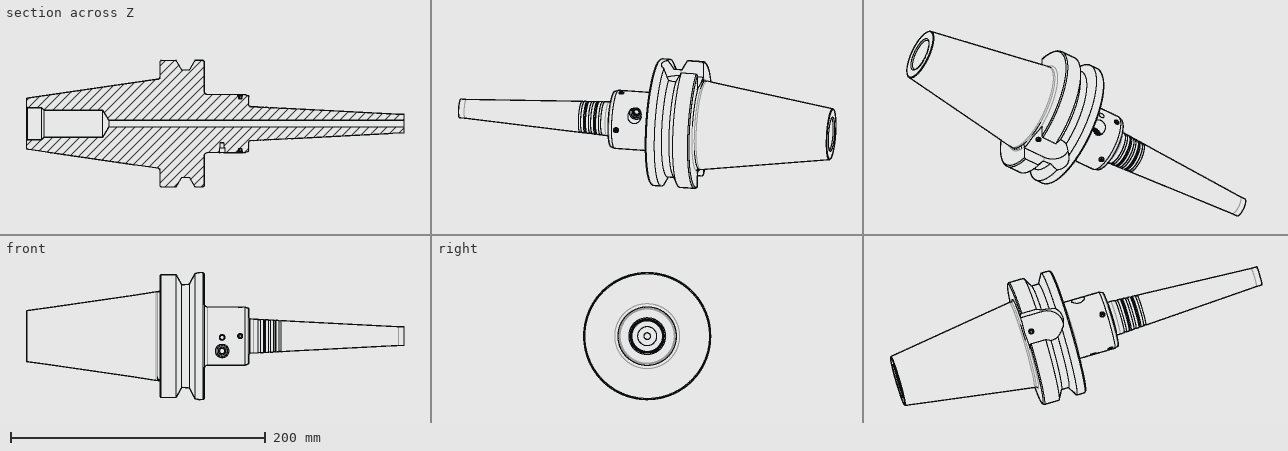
import cadquery as cq
import math


GAUGE_D = 69.85
TAPER_RATE = 7 / 24
TAPER_LENGTH = 101.8
TAPER_END_CHAMFER = 0.5
NECK_FILLET = 1.6

FLANGE_D = 100.0
FLANGE_START = 3.0
FLANGE_END = 38.0
FLANGE_CHAMFER = 1.0
GROOVE_BOTTOM_D = 85.0
GROOVE_CENTRE = 23.25
GROOVE_BOTTOM_WIDTH = 6.0
GROOVE_HALF_ANGLE = 30.0

SLOT_WIDTH = 25.7
SLOT_FLOOR = 35.4
SLOT_END = 33.9

COLLAR_D = 46.0
COLLAR_END = 73.0
COLLAR_BASE_FILLET = 2.5
COLLAR_LEAD_LENGTH = 3.2
COLLAR_LEAD_DEPTH = 0.9
COLLAR_END_FILLET = 0.8

NOSE_END = 195.0
NOSE_D = 15.0
NOSE_LAND = 4.5
NOSE_ANGLE = 3.0
NOSE_CONE_START = 76.8
NOSE_ROOT_CHAMFER = 1.0

RING_COUNT = 5
RING_FIRST = 81.2
RING_PITCH = 4.05
RING_WIDTH = 1.8
RING_DEPTH = 0.3

MOUTH_D = 25.0
MOUTH_DEPTH = 12.0
MOUTH_CHAMFER = 1.0
THREAD_D = 21.0
THREAD_DEPTH = 60.0
DRILL_POINT_ANGLE = 118.0
COOLANT_D = 5.0

SMALL_SCREW_STEPS = (4.0, 3.4)
SMALL_SOCKET = 2.0
COLLAR_SCREW_X = 66.2
SLOT_SCREW_X = 7.9
LARGE_SCREW_STEPS = (8.4, 6.0)
LARGE_SOCKET = 4.0
STEP_DEPTH = 0.7
SOCKET_DEPTH = 2.0

CROSS_X = 52.0
CROSS_Z = 11.7
CROSS_D = 10.6
CROSS_FLOOR = 13.0

SIDE_HOLE_STEPS = (4.5, 3.4)
SIDE_HOLE_Z = -1.0
SIDE_HOLE_MOUTH_DEPTH = 4.0
SIDE_HOLE_DEPTH = 8.0


def nose_radius(x):
    """Radius of the 3 degree nose cone at position x."""
    cone_end = NOSE_END - NOSE_LAND
    return NOSE_D / 2 + (cone_end - x) * math.tan(math.radians(NOSE_ANGLE))


def revolved(outline):
    """Turn a closed (x, radius) outline about the X axis."""
    return outline.close().revolve(360, (0, 0, 0), (1, 0, 0))


def turned_about_x(shape, angle):
    return shape.rotate((0, 0, 0), (1, 0, 0), angle)


def turned_body():
    gauge_r = GAUGE_D / 2
    small_r = gauge_r - TAPER_LENGTH * TAPER_RATE / 2
    flange_r = FLANGE_D / 2
    groove_r = GROOVE_BOTTOM_D / 2
    collar_r = COLLAR_D / 2
    half_bottom = GROOVE_BOTTOM_WIDTH / 2
    half_top = half_bottom + (flange_r - groove_r) * math.tan(math.radians(GROOVE_HALF_ANGLE))
    arc_mid = 1 - math.sqrt(0.5)
    base = COLLAR_BASE_FILLET
    end = COLLAR_END_FILLET
    lead_end = COLLAR_END - end
    lead_r = collar_r - COLLAR_LEAD_DEPTH
    root = NOSE_ROOT_CHAMFER
    root_r = nose_radius(NOSE_CONE_START)

    outline = (
        cq.Workplane("XY")
        .moveTo(-TAPER_LENGTH, 0)
        .lineTo(-TAPER_LENGTH, small_r - TAPER_END_CHAMFER)
        .lineTo(-TAPER_LENGTH + TAPER_END_CHAMFER, small_r + TAPER_END_CHAMFER * TAPER_RATE / 2)
        .lineTo(0, gauge_r)
        .lineTo(FLANGE_START - NECK_FILLET, gauge_r)
        .threePointArc(
            (FLANGE_START - NECK_FILLET * arc_mid, gauge_r + NECK_FILLET * arc_mid),
            (FLANGE_START, gauge_r + NECK_FILLET),
        )
        .lineTo(FLANGE_START, flange_r - FLANGE_CHAMFER)
        .lineTo(FLANGE_START + FLANGE_CHAMFER, flange_r)
        .lineTo(GROOVE_CENTRE - half_top, flange_r)
        .lineTo(GROOVE_CENTRE - half_bottom, groove_r)
        .lineTo(GROOVE_CENTRE + half_bottom, groove_r)
        .lineTo(GROOVE_CENTRE + half_top, flange_r)
        .lineTo(FLANGE_END - FLANGE_CHAMFER, flange_r)
        .lineTo(FLANGE_END, flange_r - FLANGE_CHAMFER)
        .lineTo(FLANGE_END, collar_r + base)
        .threePointArc(
            (FLANGE_END + base * arc_mid, collar_r + base * arc_mid),
            (FLANGE_END + base, collar_r),
        )
        .lineTo(COLLAR_END - COLLAR_LEAD_LENGTH, collar_r)
        .lineTo(lead_end, lead_r)
        .threePointArc(
            (COLLAR_END - end * arc_mid, lead_r - end * arc_mid),
            (COLLAR_END, lead_r - end),
        )
        .lineTo(COLLAR_END, root_r + root)
        .lineTo(COLLAR_END + root, root_r)
        .lineTo(NOSE_CONE_START, root_r)
        .lineTo(NOSE_END - NOSE_LAND, NOSE_D / 2)
        .lineTo(NOSE_END, NOSE_D / 2)
        .lineTo(NOSE_END, 0)
    )
    return revolved(outline)


def ring_groove(centre, flat_floor):
    """Shallow groove round the nose cone, with a flat or a V-shaped floor."""
    half = RING_WIDTH / 2
    floor_r = nose_radius(centre) - RING_DEPTH
    left = (centre - half, nose_radius(centre - half))
    right = (centre + half, nose_radius(centre + half))
    if flat_floor:
        floor = [(left[0], floor_r), (right[0], floor_r)]
    else:
        floor = [(centre, floor_r)]
    top = [(right[0], COLLAR_D / 2), (left[0], COLLAR_D / 2)]
    return revolved(cq.Workplane("XY").polyline([left, *floor, right, *top]))


def axial_bore():
    mouth_r = MOUTH_D / 2
    thread_r = THREAD_D / 2
    coolant_r = COOLANT_D / 2
    mouth_end = -TAPER_LENGTH + MOUTH_DEPTH
    thread_end = -TAPER_LENGTH + THREAD_DEPTH
    point = (thread_r - coolant_r) / math.tan(math.radians(DRILL_POINT_ANGLE / 2))
    outline = (
        cq.Workplane("XY")
        .moveTo(-TAPER_LENGTH, 0)
        .lineTo(-TAPER_LENGTH, mouth_r + MOUTH_CHAMFER)
        .lineTo(-TAPER_LENGTH + MOUTH_CHAMFER, mouth_r)
        .lineTo(mouth_end, mouth_r)
        .lineTo(mouth_end + mouth_r - thread_r, thread_r)
        .lineTo(thread_end, thread_r)
        .lineTo(thread_end + point, coolant_r)
        .lineTo(NOSE_END, coolant_r)
        .lineTo(NOSE_END, 0)
    )
    return revolved(outline)


def drive_slot():
    """Round-ended slot on the +Z side, open towards the taper."""
    straight_end = SLOT_END - SLOT_WIDTH / 2
    height = FLANGE_D / 2
    floor = cq.Workplane("XY", origin=(0, 0, SLOT_FLOOR))
    straight = floor.center(straight_end / 2, 0).rect(straight_end, SLOT_WIDTH).extrude(height)
    return straight.union(floor.center(straight_end, 0).circle(SLOT_WIDTH / 2).extrude(height))


def screw_hole(x, z, steps, socket):
    """Stepped hole going down from height z, with a hexagon socket in its floor."""
    surface = cq.Workplane("XY", origin=(x, 0, z))
    depth = STEP_DEPTH * len(steps)
    hexagon_d = socket / math.cos(math.pi / 6)
    cuts = surface.polygon(6, hexagon_d).extrude(-depth - SOCKET_DEPTH)
    for number, diameter in enumerate(steps, start=1):
        cuts = cuts.union(surface.circle(diameter / 2).extrude(-STEP_DEPTH * number))
    return cuts


def collar_screw_holes():
    """Four set screw holes at right angles round the collar."""
    cuts = cq.Workplane("XY")
    hole = screw_hole(COLLAR_SCREW_X, COLLAR_D / 2, SMALL_SCREW_STEPS, SMALL_SOCKET)
    for angle in (0, 90, 180, 270):
        cuts = cuts.union(turned_about_x(hole, angle))
    return cuts


def slot_screw_hole():
    return screw_hole(SLOT_SCREW_X, SLOT_FLOOR, SMALL_SCREW_STEPS, SMALL_SOCKET)


def cross_hole():
    """Off-centre hole entering from -Y below the axis, with a screw in its floor."""
    floor = cq.Workplane("XZ", origin=(CROSS_X, -CROSS_FLOOR, -CROSS_Z))
    mouth = floor.circle(CROSS_D / 2).extrude(COLLAR_D / 2)
    screw = screw_hole(CROSS_X, CROSS_FLOOR, LARGE_SCREW_STEPS, LARGE_SOCKET)
    return mouth.union(turned_about_x(screw, 90).translate((0, 0, -CROSS_Z)))


def side_hole():
    """Small stepped hole entering the collar from -Y."""
    surface = cq.Workplane("XZ", origin=(CROSS_X, -COLLAR_D / 2, SIDE_HOLE_Z))
    mouth_d, inner_d = SIDE_HOLE_STEPS
    mouth = surface.circle(mouth_d / 2).extrude(-SIDE_HOLE_MOUTH_DEPTH)
    return mouth.union(surface.circle(inner_d / 2).extrude(-SIDE_HOLE_DEPTH))


result = turned_body().cut(axial_bore())
for index in range(RING_COUNT):
    result = result.cut(ring_groove(RING_FIRST + index * RING_PITCH, index % 2 == 0))
for feature in (drive_slot(), slot_screw_hole(), cross_hole()):
    result = result.cut(feature).cut(turned_about_x(feature, 180))
result = result.cut(collar_screw_holes()).cut(side_hole())